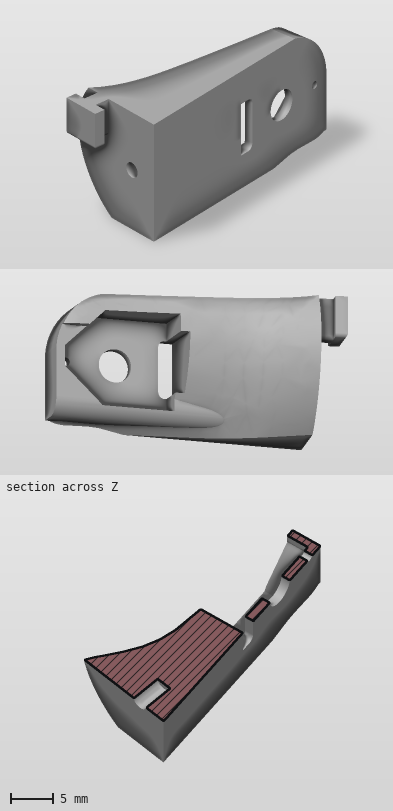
import cadquery as cq
import math

HEIGHT = 16.0
LENGTH = 35.18
ROOT_WIDTH = 13.47
TAB_LENGTH = 3.52
TIP_BACK_X = 8.48
MARGIN = 10.55

LEAN = math.atan((ROOT_WIDTH - TIP_BACK_X) / (LENGTH - TAB_LENGTH))
BACK = cq.Plane(
    origin=(TIP_BACK_X, LENGTH, 0),
    xDir=(math.sin(LEAN), -math.cos(LEAN), 0),
    normal=(-math.cos(LEAN), -math.sin(LEAN), 0),
)
BACK_LENGTH = (LENGTH - TAB_LENGTH) / math.cos(LEAN)

TIP_RADIUS = 7.75
TIP_ARC_LENGTH = 5.88
TIP_ARC_HEIGHT = 7.05
PLATE_THICKNESS = 4.08
PLATE_LENGTH = 23.92
PLATE_BOTTOM = 0.95
PLATE_TOP = 11.8
PLATE_ROUND = 2.05
FLOOR_THICKNESS = 1.15
POCKET_AXIS_Z = 8.02
POCKET_START = 1.05
POCKET_END = 14.78
POCKET_NOSE_LENGTH = 4.75
POCKET_NOSE_HALF = 1.23
POCKET_HALF = 5.65
MAIN_HOLE_DISTANCE = 8.35
MAIN_HOLE_DIAMETER = 4.05
SCREW_HOLE_DISTANCE = 2.2
SCREW_HOLE_DIAMETER = 1.0
SLOT_START = 13.75
SLOT_END = 15.85
SLOT_HEIGHT = 7.05
SLOT_CORNER = 0.77

TAB_HEIGHT = 4.95
TAB_CENTRE_X = 4.45
HEAD_WIDTH = 5.1
HEAD_THICKNESS = 1.48
STEM_WIDTH = 2.0
STEM_OVERLAP = 0.35
TAB_ROUND = 0.45

PIN_X = 9.57
PIN_Z = 8.1
PIN_DIAMETER = 2.0
PIN_DEPTH = 4.0

LOWER_Z = 2.8
GRIP_SECTIONS = [
    (TAB_LENGTH, 1.83, 0.0, 10.03, 2.92, 5.98),
    (5.63, 3.13, 1.23, 9.85, 4.08, 6.85),
    (7.75, 3.95, 2.55, 9.85, 5.28, 7.75),
    (13.0, 4.9, 4.33, 10.2, 7.28, 9.5),
    (18.3, 5.28, 4.4, 10.9, 7.45, 9.95),
    (24.63, 5.63, 4.3, 11.95, 7.75, 10.0),
    (30.6, 5.85, 3.87, 11.95, 7.6, 9.67),
    (LENGTH, 6.33, 4.85, 11.95, 7.4, 9.67),
]


def back_block(start, end, bottom, top, near, far):
    """Block between two distances from the tip and two distances from the back."""
    sketch = cq.Workplane(BACK).workplane(offset=near).center((start + end) / 2, (bottom + top) / 2)
    return sketch.rect(end - start, top - bottom).extrude(far - near)


def grip_section(y, top_x, bulge_x, bulge_z, lower_x, bottom_x):
    """Closed section with a curved left side, reaching past the back face."""
    outer_x = ROOT_WIDTH + MARGIN
    curve = [(bulge_x, bulge_z), (lower_x, LOWER_Z), (bottom_x, 0)]
    section = cq.Workplane("XZ", origin=(0, y, 0)).moveTo(top_x, HEIGHT)
    section = section.spline(curve, includeCurrent=True)
    return section.lineTo(outer_x, 0).lineTo(outer_x, HEIGHT).close().val()


def make_grip():
    wires = [grip_section(*values) for values in GRIP_SECTIONS]
    return cq.Workplane(cq.Solid.makeLoft(wires))


def make_plate():
    plate = back_block(0, PLATE_LENGTH, PLATE_BOTTOM, PLATE_TOP, 0, PLATE_THICKNESS)
    return plate.edges(cq.selectors.NearestToPointSelector(
        BACK.toWorldCoords((PLATE_LENGTH / 2, PLATE_BOTTOM, PLATE_THICKNESS)).toTuple()
    )).fillet(PLATE_ROUND)


def make_envelope():
    """Side outline with the rounded upper tip corner, standing on the back face."""
    outline = (
        cq.Workplane(BACK)
        .moveTo(BACK_LENGTH + MARGIN, 0)
        .lineTo(0, 0)
        .lineTo(0, HEIGHT - TIP_ARC_HEIGHT)
        .radiusArc((TIP_ARC_LENGTH, HEIGHT), TIP_RADIUS)
        .lineTo(BACK_LENGTH + MARGIN, HEIGHT)
        .close()
    )
    return outline.extrude(ROOT_WIDTH + MARGIN)


def make_pocket():
    """Pointed pocket open to the sculpted side, with its holes and slot through the floor."""
    shoulder = POCKET_START + POCKET_NOSE_LENGTH
    outline = [
        (POCKET_START, POCKET_NOSE_HALF),
        (shoulder, POCKET_HALF),
        (POCKET_END, POCKET_HALF),
        (POCKET_END, -POCKET_HALF),
        (shoulder, -POCKET_HALF),
        (POCKET_START, -POCKET_NOSE_HALF),
    ]
    axis = cq.Workplane(BACK).center(0, POCKET_AXIS_Z)
    pocket = axis.workplane(offset=FLOOR_THICKNESS).polyline(outline).close().extrude(MARGIN)
    for distance, diameter in (
        (MAIN_HOLE_DISTANCE, MAIN_HOLE_DIAMETER),
        (SCREW_HOLE_DISTANCE, SCREW_HOLE_DIAMETER),
    ):
        pocket = pocket.union(axis.pushPoints([(distance, 0)]).circle(diameter / 2).extrude(MARGIN))
    slot_bottom = POCKET_AXIS_Z - SLOT_HEIGHT / 2
    slot = back_block(SLOT_START, SLOT_END, slot_bottom, slot_bottom + SLOT_HEIGHT, 0, MARGIN)
    tip_side = cq.selectors.DirectionMinMaxSelector(-BACK.xDir, True)
    slot = slot.faces(tip_side).edges("not |Z").fillet(SLOT_CORNER)
    return pocket.union(slot)


def make_tab():
    bottom = HEIGHT - TAB_HEIGHT
    head = cq.Workplane("XY", origin=(TAB_CENTRE_X, HEAD_THICKNESS / 2, bottom))
    head = head.rect(HEAD_WIDTH, HEAD_THICKNESS).extrude(TAB_HEIGHT)
    head = head.faces("<Z").edges("not >Y").fillet(TAB_ROUND)
    stem_length = TAB_LENGTH + STEM_OVERLAP - HEAD_THICKNESS / 2
    stem = cq.Workplane("XY", origin=(TAB_CENTRE_X, HEAD_THICKNESS / 2 + stem_length / 2, bottom))
    stem = stem.rect(STEM_WIDTH, stem_length).extrude(TAB_HEIGHT)
    return head.union(stem.faces("<Z").edges("|Y").fillet(TAB_ROUND))


plate_clearance = back_block(-MARGIN, POCKET_END, 0, PLATE_TOP, PLATE_THICKNESS, ROOT_WIDTH)
pin_hole = cq.Workplane("XZ", origin=(PIN_X, TAB_LENGTH, PIN_Z))
pin_hole = pin_hole.circle(PIN_DIAMETER / 2).extrude(-PIN_DEPTH)

body = make_grip().intersect(make_envelope())
body = body.cut(plate_clearance).union(make_plate().intersect(make_envelope()))
result = body.cut(make_pocket()).cut(pin_hole).union(make_tab())